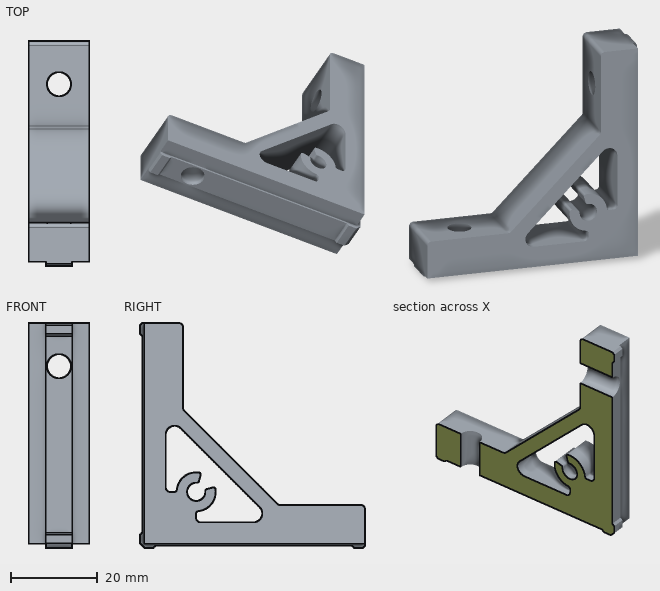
import cadquery as cq
import math

arm_length = 52.0
width = 14.0
key_height = 1.0
arm_inner_face = 10.0
brace_end = 32.0
arm_end_radius = 1.0
brace_radius = 1.0

key_width = 6.1
rail_recess = 0.5
pad_chamfer = 0.5
end_pad_length = 3.0
corner_pad_length = 3.6
corner_chamfer = 1.1

window_offset = 6.0
window_diagonal = 37.1
window_radius = 2.05
clip_center = 13.0
clip_outer_radius = 4.5
clip_inner_radius = 2.1
clip_opening_angle = 60.0
small_radius = 0.5
window_corner_radius = 1.0

bolt_diameter = 5.5
bolt_from_end = 10.0
bolt_position = arm_length - bolt_from_end


def extrude_centered(points, thickness):
    """Extrude a YZ outline symmetrically about x = 0."""
    return cq.Workplane("YZ").polyline(points).close().extrude(thickness / 2, both=True)


def round_edges(body, points, radius):
    """Fillet the X-direction edges passing through the given YZ points."""
    reach = 0.005
    for y, z in points:
        corner = cq.selectors.BoxSelector(
            (-width, y - reach, z - reach), (width, y + reach, z + reach)
        )
        body = body.edges("|X").edges(corner).fillet(radius)
    return body


def mirrored(points):
    """Swap Y and Z and reverse the order, to continue an outline across y = z."""
    return [(z, y) for y, z in reversed(points)]


def make_body():
    half = [
        (key_height, arm_length),
        (arm_inner_face, arm_length),
        (arm_inner_face, brace_end),
    ]
    body = extrude_centered([(key_height, key_height)] + half + mirrored(half), width)
    arm_ends = [(arm_inner_face, arm_length), (arm_length, arm_inner_face)]
    brace_ends = [(arm_inner_face, brace_end), (brace_end, arm_inner_face)]
    body = round_edges(body, arm_ends, arm_end_radius)
    return round_edges(body, brace_ends, brace_radius)


def make_key():
    half = [
        (0, corner_chamfer),
        (0, corner_pad_length - pad_chamfer),
        (rail_recess, corner_pad_length),
        (rail_recess, arm_length - end_pad_length),
        (0, arm_length - end_pad_length + pad_chamfer),
        (0, arm_length - pad_chamfer),
        (pad_chamfer, arm_length),
        (key_height, arm_length),
    ]
    inner_corner = (arm_inner_face / 2, arm_inner_face / 2)
    upper_root = (key_height, inner_corner[1])
    side_root = (inner_corner[0], key_height)
    return extrude_centered(half + [upper_root, inner_corner, side_root] + mirrored(half), key_width)


def make_window():
    far = window_diagonal - window_offset
    tips = [(window_offset, far), (far, window_offset)]
    triangle = extrude_centered([(window_offset, window_offset)] + tips, width)
    window = round_edges(triangle, tips, window_radius)

    block = extrude_centered(
        [
            (window_offset, window_offset),
            (clip_center, window_offset),
            (clip_center, clip_center),
            (window_offset, clip_center),
        ],
        width,
    )
    clip_plane = cq.Workplane("YZ").center(clip_center, clip_center)
    disc = clip_plane.circle(clip_outer_radius).extrude(width / 2, both=True)
    bore = clip_plane.circle(clip_inner_radius).extrude(width / 2, both=True)

    half_opening = math.radians(clip_opening_angle / 2)
    lip_angles = [math.radians(45) - half_opening, math.radians(45) + half_opening]

    def on_lip(radius, angle):
        return (clip_center + radius * math.cos(angle), clip_center + radius * math.sin(angle))

    mouth_reach = 2 * clip_outer_radius
    mouth = extrude_centered(
        [(clip_center, clip_center)] + [on_lip(mouth_reach, angle) for angle in lip_angles], width
    )
    window = window.cut(block.union(disc).cut(bore).cut(mouth))

    clip_root = clip_center - clip_outer_radius
    corners = [
        (clip_root, clip_center),
        (clip_center, clip_root),
    ]
    for angle in lip_angles:
        corners.append(on_lip(clip_inner_radius, angle))
        corners.append(on_lip(clip_outer_radius, angle))
    window_corners = [(window_offset, clip_center), (clip_center, window_offset)]
    window = round_edges(window, window_corners, window_corner_radius)
    return round_edges(window, corners, small_radius)


def make_bolt_holes():
    bolt_radius = bolt_diameter / 2
    across_y = cq.Solid.makeCylinder(
        bolt_radius, arm_inner_face, cq.Vector(0, 0, bolt_position), cq.Vector(0, 1, 0)
    )
    across_z = cq.Solid.makeCylinder(
        bolt_radius, arm_inner_face, cq.Vector(0, bolt_position, 0), cq.Vector(0, 0, 1)
    )
    return cq.Workplane(across_y).add(across_z).combine()


result = make_body().union(make_key()).cut(make_window()).cut(make_bolt_holes())